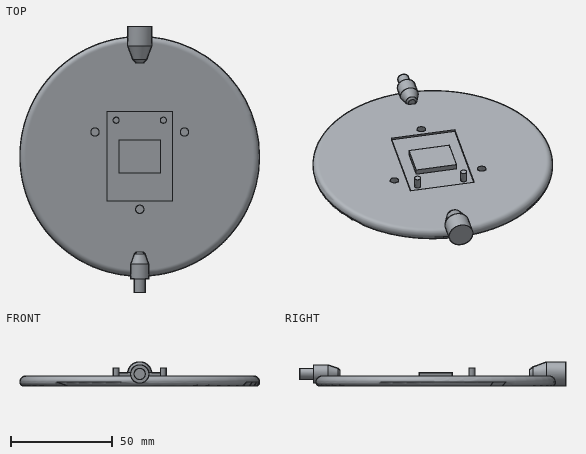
import cadquery as cq

DISC_RADIUS = 59.0
DISC_THICKNESS = 5.0
UPPER_RIM_RADIUS = 3.0
LOWER_RIM_RADIUS = DISC_THICKNESS - UPPER_RIM_RADIUS

RECESS_WIDTH = 32.0
RECESS_LENGTH = 44.0
RECESS_DEPTH = 1.0
RECESS_FLOOR_Z = DISC_THICKNESS - RECESS_DEPTH
BLOCK_WIDTH = 20.3
BLOCK_LENGTH = 16.3
BLOCK_TOP_Z = 6.6
PIN_DIAMETER = 3.0
PIN_TOP_Z = 9.0
PIN_X = 11.6
PIN_Y = 17.8

HOLE_DIAMETER = 4.1
HOLE_DEPTH = 4.0
SIDE_HOLE_X = 22.0
SIDE_HOLE_Y = 12.0
FRONT_HOLE_Y = -26.0

CONNECTOR_AXIS_Z = 6.0

LARGE_DIAMETER = 12.0
LARGE_CONE_END_DIAMETER = 7.0
LARGE_TIP_DIAMETER = 4.0
LARGE_OUTER_Y = 64.0
LARGE_CONE_START_Y = 54.4
LARGE_CONE_END_Y = 47.7
LARGE_TIP_Y = 46.0

SMALL_DIAMETER = 9.0
SMALL_STUB_DIAMETER = 5.5
SMALL_CONE_END_DIAMETER = 5.5
SMALL_TIP_DIAMETER = 3.5
SMALL_OUTER_Y = -67.0
SMALL_BODY_START_Y = -60.2
SMALL_CONE_START_Y = -53.0
SMALL_CONE_END_Y = -48.0
SMALL_TIP_Y = -47.0


def make_disc():
    """Round plate with a larger rounding on the upper edge than on the lower one."""
    section = (
        cq.Workplane("XZ")
        .lineTo(DISC_RADIUS - LOWER_RIM_RADIUS, 0)
        .tangentArcPoint((DISC_RADIUS, LOWER_RIM_RADIUS), relative=False)
        .tangentArcPoint((DISC_RADIUS - UPPER_RIM_RADIUS, DISC_THICKNESS), relative=False)
        .lineTo(0, DISC_THICKNESS)
        .close()
    )
    return section.revolve(360, (0, 0, 0), (0, 1, 0))


def cut_holes(body):
    """Two side holes and one front hole, blind from the top face."""
    centres = [(-SIDE_HOLE_X, SIDE_HOLE_Y), (SIDE_HOLE_X, SIDE_HOLE_Y), (0, FRONT_HOLE_Y)]
    hole_floor = cq.Workplane("XY").workplane(offset=DISC_THICKNESS - HOLE_DEPTH)
    holes = hole_floor.pushPoints(centres).circle(HOLE_DIAMETER / 2).extrude(HOLE_DEPTH)
    return body.cut(holes)


def cut_recess(body):
    """Shallow rectangular recess in the top face."""
    floor = cq.Workplane("XY").workplane(offset=RECESS_FLOOR_Z)
    return body.cut(floor.rect(RECESS_WIDTH, RECESS_LENGTH).extrude(RECESS_DEPTH))


def add_recess_fittings(body):
    """Central block and two pins standing on the recess floor."""
    floor = cq.Workplane("XY").workplane(offset=RECESS_FLOOR_Z)
    block = floor.rect(BLOCK_WIDTH, BLOCK_LENGTH).extrude(BLOCK_TOP_Z - RECESS_FLOOR_Z)
    pin_centres = [(-PIN_X, PIN_Y), (PIN_X, PIN_Y)]
    pins = floor.pushPoints(pin_centres).circle(PIN_DIAMETER / 2).extrude(PIN_TOP_Z - RECESS_FLOOR_Z)
    return body.union(block).union(pins)


def make_connector(profile):
    """Turned body about the connector axis; profile lists (diameter, y) from end to end."""
    outline = [(diameter / 2, y) for diameter, y in profile]
    first_y = profile[0][1]
    last_y = profile[-1][1]
    half_section = [(0, first_y)] + outline + [(0, last_y)]
    plane = cq.Workplane("XY").workplane(offset=CONNECTOR_AXIS_Z)
    return plane.polyline(half_section).close().revolve(360, (0, 0, 0), (0, 1, 0))


large_connector = make_connector([
    (LARGE_DIAMETER, LARGE_OUTER_Y),
    (LARGE_DIAMETER, LARGE_CONE_START_Y),
    (LARGE_CONE_END_DIAMETER, LARGE_CONE_END_Y),
    (LARGE_TIP_DIAMETER, LARGE_TIP_Y),
])

small_connector = make_connector([
    (SMALL_STUB_DIAMETER, SMALL_OUTER_Y),
    (SMALL_STUB_DIAMETER, SMALL_BODY_START_Y),
    (SMALL_DIAMETER, SMALL_BODY_START_Y),
    (SMALL_DIAMETER, SMALL_CONE_START_Y),
    (SMALL_CONE_END_DIAMETER, SMALL_CONE_END_Y),
    (SMALL_TIP_DIAMETER, SMALL_TIP_Y),
])

plate = cut_recess(cut_holes(make_disc()))
plate = add_recess_fittings(plate)
result = plate.union(large_connector).union(small_connector)